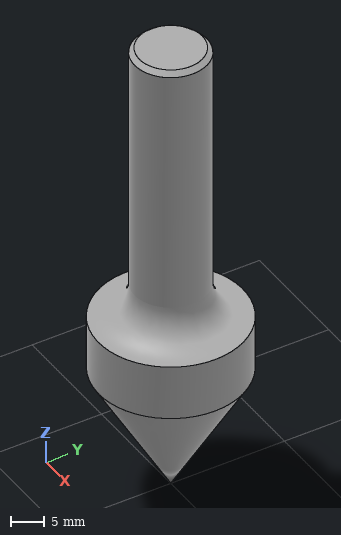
import cadquery as cq
import math

total_length = 82.55
head_radius = 12.7
shank_radius = 6.35
end_chamfer = 0.8
cone_included_angle = 60.0
collar_height = 9.7

tip_z = -total_length / 2
top_z = total_length / 2
cone_height = head_radius / math.tan(math.radians(cone_included_angle / 2))
collar_bottom_z = tip_z + cone_height
collar_top_z = collar_bottom_z + collar_height
neck_radius = head_radius - shank_radius
neck_top_z = collar_top_z + neck_radius


def make_holder():
    """Shank blending through a concave quarter-round neck into the collar."""
    arc_offset = neck_radius * math.sqrt(0.5)
    neck_mid = (head_radius - arc_offset, neck_top_z - arc_offset)
    return (
        cq.Workplane("XZ")
        .moveTo(0, collar_bottom_z)
        .lineTo(head_radius, collar_bottom_z)
        .lineTo(head_radius, collar_top_z)
        .threePointArc(neck_mid, (shank_radius, neck_top_z))
        .lineTo(shank_radius, top_z - end_chamfer)
        .lineTo(shank_radius - end_chamfer, top_z)
        .lineTo(0, top_z)
        .close()
        .revolve(360, (0, 0), (0, 1))
    )


def make_point():
    """Sharp cone seated against the flat underside of the collar."""
    return (
        cq.Workplane("XZ")
        .moveTo(0, tip_z)
        .lineTo(head_radius, collar_bottom_z)
        .lineTo(0, collar_bottom_z)
        .close()
        .revolve(360, (0, 0), (0, 1))
    )


holder = make_holder()
point = make_point()
result = cq.Compound.makeCompound([holder.val(), point.val()])